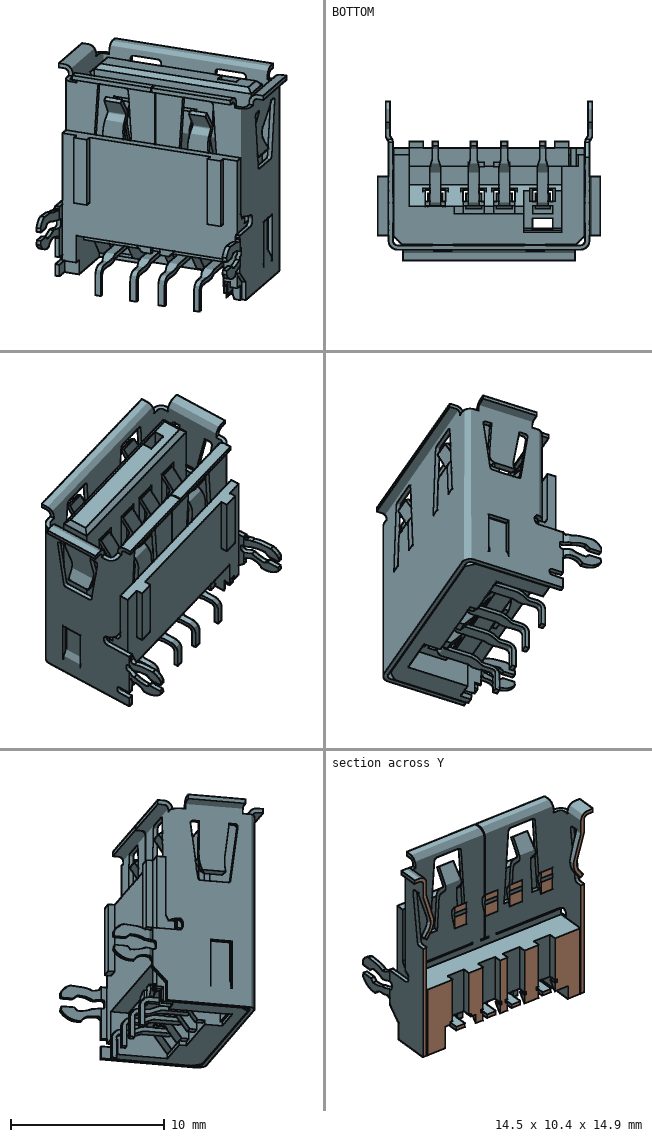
import cadquery as cq
import math


sheet = 0.3
shell_half_x = 6.55
shell_half_y = 2.85
shell_corner = 0.6
shell_height = 13.23
inner_half_x = shell_half_x - sheet
inner_half_y = shell_half_y - sheet
front_wall_bottom = 5.67
cheek_front_y = -4.15
cheek_top = 4.88
seam_gap = 0.06

lip_top = 13.99
lip_flare = 0.7
lip_bend = 0.3
long_lip_half = 5.61
short_lip_half = 1.93

body_half_x = 6.2
body_back_y = 2.51
floor_z = 5.12
plate_back_y = -3.18
plate_front_y = -3.78
plate_top = 9.92
rib_front_y = -4.21
tongue_half_x = 5.57
tongue_back_y = 1.8
tongue_front_y = -0.03
tongue_top = 13.47
tongue_chamfer = 0.31
slot_front_y = -1.03
slot_back_y = 0.52
slot_top = 11.46
outer_slot_width = 1.31
inner_slot_width = 1.37
lintel_y = -2.59
sill_z = 0.28
pocket_left_x = 2.28
pocket_right_x = 4.73

outer_contact_x = 3.5
inner_contact_x = 1.0
pin_bottom = -0.9
contact_thickness = 0.3
barb_width = 1.67
barb_bottom = 1.67
barb_top = 1.87
barb_back_y = 0.0


def box(x0, x1, y0, y1, z0, z1):
    return cq.Workplane("XY").box(x1 - x0, y1 - y0, z1 - z0, centered=False).translate((x0, y0, z0))


def slab_yz(points, x0, x1):
    """Closed Y-Z outline extruded from x0 to x1."""
    return cq.Workplane("YZ", origin=(x0, 0, 0)).polyline(points).close().extrude(x1 - x0)


def slab_xz(points, y0, y1):
    """Closed X-Z outline extruded from y0 to y1."""
    return cq.Workplane("XZ", origin=(0, y1, 0)).polyline(points).close().extrude(y1 - y0)


def both_sides(solid):
    return solid.union(solid.mirror("YZ"))


def trapezoid(center, half_top, half_bottom, z_top, z_bottom):
    return [
        (center - half_bottom, z_bottom),
        (center + half_bottom, z_bottom),
        (center + half_top, z_top),
        (center - half_top, z_top),
    ]


def bent_strip(plane, path, radii, thickness=sheet):
    """Closed outline of an evenly thick strip along a mid-line path rounded at its inner corners."""
    half = thickness / 2
    headings = [math.atan2(v1 - v0, u1 - u0) for (u0, v0), (u1, v1) in zip(path, path[1:])]

    def offset(point, heading, distance):
        u, v = point
        return (u - distance * math.sin(heading), v + distance * math.cos(heading))

    def bend_points(corner, radius, before, after, side):
        """Start, middle and end of the arc that one face of the strip makes at a corner."""
        u, v = corner
        turn = math.remainder(after - before, 2 * math.pi)
        run_up = radius * math.tan(abs(turn) / 2)
        start = (u - run_up * math.cos(before), v - run_up * math.sin(before))
        center = offset(start, before, math.copysign(radius, turn))
        reach = side * half - math.copysign(radius, turn)
        return [offset(center, heading, reach) for heading in (before, before + turn / 2, after)]

    def face_bends(side):
        corners = zip(path[1:-1], radii, headings, headings[1:])
        return [bend_points(*corner, side) for corner in corners]

    outline = cq.Workplane(plane).moveTo(*offset(path[0], headings[0], half))
    for start, middle, end in face_bends(1):
        outline = outline.lineTo(*start).threePointArc(middle, end)
    outline = outline.lineTo(*offset(path[-1], headings[-1], half))
    outline = outline.lineTo(*offset(path[-1], headings[-1], -half))
    for start, middle, end in reversed(face_bends(-1)):
        outline = outline.lineTo(*end).threePointArc(middle, start)
    return outline.lineTo(*offset(path[0], headings[0], -half)).close()


def lip(plane, face, half_length):
    """Lip curling outward from the wall whose outer face lies at the given distance."""
    lip_z = lip_top - sheet / 2
    wall_mid = face - sheet / 2
    path = [(wall_mid, shell_height), (wall_mid, lip_z), (face + lip_flare, lip_z)]
    return bent_strip(plane, path, [lip_bend + sheet / 2]).extrude(half_length, both=True)


def shell_tube():
    outer = box(-shell_half_x, shell_half_x, -shell_half_y, shell_half_y, 0, shell_height)
    inner = box(-inner_half_x, inner_half_x, -inner_half_y, inner_half_y, 0, shell_height)
    outer = outer.edges("|Z").fillet(shell_corner)
    inner = inner.edges("|Z").fillet(shell_corner - sheet)
    below_front_wall = box(
        -shell_half_x, shell_half_x, -shell_half_y, shell_corner - shell_half_y, 0, front_wall_bottom
    )
    tube = outer.cut(inner).cut(below_front_wall)
    long_lip = lip("YZ", shell_half_y, long_lip_half)
    short_lip = lip("XZ", shell_half_x, short_lip_half)
    tube = tube.union(long_lip).union(long_lip.mirror("XZ")).union(both_sides(short_lip))
    seam = box(-seam_gap / 2, seam_gap / 2, -shell_half_y - lip_flare, -inner_half_y, 0, lip_top)
    return tube.cut(seam)


def cheeks():
    """Side walls below the front wall, reaching forward past it; the right one has its corner cut off."""
    relief_height = front_wall_bottom - cheek_top
    relief_back_y = -2.1
    notch_back_y = -3.18
    notch_low, notch_high = 0.82, 1.34
    notch_radius = 0.18
    bevel_top = 2.23
    cheek = box(
        inner_half_x, shell_half_x, cheek_front_y, shell_corner - shell_half_y, 0, cheek_top + relief_height
    )
    relief = box(inner_half_x, shell_half_x, cheek_front_y, relief_back_y, cheek_top, front_wall_bottom)
    relief = relief.edges("|X and >Y").fillet(relief_height * 0.45)
    notch = box(inner_half_x, shell_half_x, cheek_front_y, notch_back_y, notch_low, notch_high)
    notch = notch.edges("|X and >Y").fillet(notch_radius)
    corner = [
        (cheek_front_y, 0),
        (cheek_front_y, bevel_top),
        (notch_back_y, bevel_top + cheek_front_y - notch_back_y),
        (notch_back_y, 0),
    ]
    right_corner = slab_yz(corner, inner_half_x, shell_half_x)
    return both_sides(cheek), both_sides(relief.union(notch)).union(right_corner)


def solder_legs():
    """Two-pronged board lock at the front edge of each cheek, stepped outward."""
    jog = 0.2
    jog_start_y, jog_end_y = -4.23, -4.54
    jog_radius = 0.3
    beyond_tip_y = -7.44
    upper = (
        cq.Workplane("YZ")
        .moveTo(cheek_front_y, 4.91)
        .lineTo(-4.23, 4.75)
        .lineTo(-4.33, 4.67)
        .lineTo(-4.69, 4.65)
        .threePointArc((-5.12, 4.79), (-5.5, 4.84))
        .lineTo(-6.18, 4.88)
        .threePointArc((-6.59, 4.65), (-6.82, 4.32))
        .lineTo(-6.82, 4.06)
        .lineTo(-6.75, 4.0)
        .lineTo(-6.0, 4.0)
        .lineTo(-5.7, 4.24)
        .threePointArc((-5.21, 4.2), (-4.69, 4.0))
        .lineTo(cheek_front_y, 4.0)
        .close()
    )
    lower = (
        cq.Workplane("YZ")
        .moveTo(cheek_front_y, 3.41)
        .lineTo(-4.69, 3.41)
        .threePointArc((-5.21, 3.23), (-5.7, 3.18))
        .lineTo(-5.92, 3.41)
        .lineTo(-6.75, 3.41)
        .lineTo(-6.82, 3.14)
        .threePointArc((-6.32, 2.68), (-5.65, 2.5))
        .lineTo(-5.45, 2.5)
        .lineTo(-5.3, 2.7)
        .threePointArc((-5.0, 2.85), (-4.69, 2.89))
        .lineTo(-4.33, 2.89)
        .lineTo(cheek_front_y, 2.66)
        .close()
    )
    reach = shell_half_x + jog + sheet
    mid_x = shell_half_x - sheet / 2
    stepped_path = [
        (mid_x, -shell_half_y),
        (mid_x, jog_start_y),
        (mid_x + jog, jog_end_y),
        (mid_x + jog, beyond_tip_y),
    ]
    stepped_sheet = bent_strip("XY", stepped_path, [jog_radius] * 2)
    stepped_sheet = stepped_sheet.extrude(cheek_top + sheet)
    leg = upper.extrude(reach).intersect(stepped_sheet).union(lower.extrude(reach).intersect(stepped_sheet))
    gap_end = box(inner_half_x, shell_half_x, cheek_front_y, -3.91, 3.41, 4.0).edges("|X and >Y").fillet(0.18)
    return both_sides(leg), both_sides(gap_end)


def long_wall_springs():
    """Springs rising from the front and back walls; returns the springs and their openings."""
    center_x = 3.0
    opening_top, opening_bottom = 13.39, 7.74
    spring_top = 12.5
    base_depth = shell_half_y - sheet / 2
    fold_depth, fold_z = base_depth - 0.71, 11.23
    hump_z = 10.49
    path = [
        (base_depth, opening_bottom),
        (base_depth, hump_z),
        (fold_depth, fold_z),
        (base_depth + 0.13, spring_top - 0.09),
    ]
    bent = bent_strip("YZ", path, [0.9, 0.24]).extrude(shell_half_x, both=True)
    outline = slab_xz(trapezoid(center_x, 0.57, 0.85, spring_top + 0.15, opening_bottom), 0, 4.46)
    spring = bent.intersect(outline)
    opening = slab_xz(trapezoid(center_x, 1.07, 1.45, opening_top, opening_bottom), inner_half_y, 2.98)
    opening = opening.edges("|Y and >Z").fillet(0.24)
    springs = both_sides(spring)
    openings = both_sides(opening)
    return springs.union(springs.mirror("XZ")), openings.union(openings.mirror("XZ"))


def side_springs():
    """Springs hanging from the top of the window in each side wall."""
    window_top, window_bottom = 12.47, 8.4
    tip_z = 8.99
    mid_x = shell_half_x - sheet / 2
    path = [
        (mid_x, window_top + 0.15),
        (mid_x, window_top - 0.09),
        (mid_x - 0.71, 10.0),
        (mid_x - 0.05, tip_z + 0.09),
    ]
    bent = bent_strip("XZ", path, [0.3, 1.19]).extrude(shell_half_y, both=True)
    outline = slab_yz(trapezoid(0, 1.01, 0.79, window_top + 0.15, tip_z), 0, 7.44)
    outline = outline.edges("|X and <Z").chamfer(0.2)
    spring = bent.intersect(outline)
    window = slab_yz(trapezoid(0, 1.62, 1.09, window_top, window_bottom), inner_half_x, shell_half_x)
    window = window.edges("|X").fillet(0.21)
    return both_sides(spring), both_sides(window)


def latches():
    """Tabs cut from the side walls and pressed into the plastic body."""
    back_y, front_y = 1.2, -0.22
    low_z, high_z = 1.18, 4.4
    depth = 0.28
    side_gap = 0.07
    mid_x = shell_half_x - sheet / 2
    path = [
        (mid_x, low_z - 0.15),
        (mid_x, low_z + 0.21),
        (mid_x - depth, low_z + 0.71),
        (mid_x - depth, high_z),
    ]
    profile = bent_strip("XZ", path, [0.6, 0.37])
    tab = profile.extrude(side_gap + front_y - back_y).translate((0, front_y, 0))
    window = box(inner_half_x, shell_half_x, front_y, back_y, low_z, high_z)
    return both_sides(tab), both_sides(window)


def seam_hooks():
    """Pair of hooked tongues at the seam, running down from the front wall."""
    inner_x, outer_x = 0.31, 1.34
    tip_z = 2.05
    outline = [
        (inner_x, front_wall_bottom),
        (inner_x, tip_z),
        (inner_x + 0.65, tip_z),
        (outer_x, 2.47),
        (outer_x, 2.71),
        (inner_x + 0.65, 2.77),
        (inner_x + 0.65, front_wall_bottom),
    ]
    return both_sides(slab_xz(outline, -shell_half_y, -inner_half_y))


def make_shell():
    cheek, cheek_cuts = cheeks()
    legs, leg_gap = solder_legs()
    shell = shell_tube().union(cheek).cut(cheek_cuts).union(legs).cut(leg_gap)
    for added, opening in (long_wall_springs(), side_springs(), latches()):
        shell = shell.cut(opening).union(added)
    return shell.union(seam_hooks())


def body_block():
    back_corner = 0.54
    web_top = 5.58
    web_fillet = 0.37
    foot_z, foot_front_y = 1.0, -3.33
    base = box(-body_half_x, body_half_x, plate_back_y, body_back_y, 0, floor_z)
    base = base.edges("|Z and >Y").chamfer(back_corner)
    profile = [
        (-inner_half_y, 0),
        (foot_front_y, 0),
        (foot_front_y, foot_z),
        (plate_front_y, foot_z),
        (plate_front_y, plate_top),
        (plate_back_y, plate_top),
        (plate_back_y, web_top + web_fillet),
        (plate_back_y + web_fillet / 2, web_top),
        (-inner_half_y, web_top),
    ]
    block = base.union(slab_yz(profile, -body_half_x, body_half_x))
    rib = box(4.27, 5.21, rib_front_y, plate_front_y, 5.34, plate_top)
    return block.union(both_sides(rib))


def tongue():
    bar = box(-tongue_half_x, tongue_half_x, tongue_front_y, tongue_back_y, floor_z, tongue_top)
    return bar.faces(">Z").chamfer(tongue_chamfer)


def contact_slots():
    """Slots for the four contacts, open to the hollow below, with side notches for the barbs."""
    cuts = cq.Workplane("XY")
    for x, width, low_z in (
        (-outer_contact_x, outer_slot_width, sill_z),
        (-inner_contact_x, inner_slot_width, 0),
        (inner_contact_x, inner_slot_width, 0),
        (outer_contact_x, outer_slot_width, 0),
    ):
        left, right = x - width / 2, x + width / 2
        cuts = cuts.union(box(left, right, slot_front_y, slot_back_y, low_z, slot_top))
        cuts = cuts.union(box(left, right, lintel_y, slot_back_y, low_z, barb_top))
        barb_left, barb_right = x - barb_width / 2, x + barb_width / 2
        cuts = cuts.union(box(barb_left, barb_right, lintel_y, barb_back_y, barb_bottom, barb_top))
    return cuts


def underside_cavity():
    """Hollow under the front plate, with a sloping roof where the contacts leave the body."""
    half_width = 5.21
    lintel_z, roof_z = 2.89, 2.17
    roof_flat_y, roof_end_y = -1.38, 0.03
    open_y = plate_front_y - 0.15
    porch = box(-half_width, half_width, open_y, lintel_y, 0, lintel_z)
    roof = [
        (lintel_y, 0),
        (lintel_y, roof_z),
        (roof_flat_y, roof_z),
        (roof_end_y, sill_z),
        (roof_end_y, 0),
    ]
    sill_recess = box(-pocket_left_x, pocket_left_x, lintel_y, slot_back_y, 0, sill_z)
    return porch.union(slab_yz(roof, -half_width, pocket_right_x)).union(sill_recess)


def vent():
    """Passage through the tongue beside the last contact, opening into a stepped pocket below."""
    front_y, back_y = 0.8, 1.46
    step = 0.12
    pocket_top, middle_top = 1.67, 1.12
    half_width = outer_slot_width / 2
    cuts = box(outer_contact_x - half_width, outer_contact_x + half_width, front_y, back_y, 0, tongue_top)
    for i, top in enumerate((pocket_top, middle_top, sill_z)):
        cuts = cuts.union(box(pocket_left_x, pocket_right_x, lintel_y, back_y + i * step, 0, top))
    return cuts


def key_slot():
    outline = [(5.21, 0), (5.33, 0.28), (5.33, 1.34), (5.68, 1.34), (5.68, 0.28), (5.8, 0)]
    return slab_xz(outline, plate_front_y, lintel_y)


def make_body():
    body = body_block().union(tongue())
    for cavity in (contact_slots(), underside_cavity(), vent(), key_slot()):
        body = body.cut(cavity)
    return body


def contact(x, blade_width, pin_width):
    """Bowed blade in the tongue slot, shank through the body, lead out and down to a pin."""
    lead_width = 0.71
    shank_y = barb_back_y - contact_thickness / 2
    pin_y = rib_front_y + contact_thickness / 2
    lead_high_z, lead_low_z = 1.19, 0.91
    blade_path = [(0.07, 11.16), (-0.73, 10.12), (shank_y, 8.4), (shank_y, barb_bottom)]
    lead_path = [
        (shank_y, barb_top),
        (shank_y, lead_high_z),
        (-2.16, lead_high_z),
        (-2.9, lead_low_z),
        (pin_y, lead_low_z),
        (pin_y, pin_bottom),
    ]
    blade = bent_strip("YZ", blade_path, [0.45, 0.9], contact_thickness)
    blade = blade.extrude(blade_width / 2, both=True).translate((x, 0, 0))
    lead = bent_strip("YZ", lead_path, [0.18, 0.45, 0.45, 0.45], contact_thickness)
    lead = lead.extrude(lead_width / 2, both=True).translate((x, 0, 0))
    taper_start_y, taper_end_y = -2.53, -3.05
    plan = [
        (x - lead_width / 2, 0.75),
        (x + lead_width / 2, 0.75),
        (x + lead_width / 2, taper_start_y),
        (x + pin_width / 2, taper_end_y),
        (x + pin_width / 2, -5.95),
        (x - pin_width / 2, -5.95),
        (x - pin_width / 2, taper_end_y),
        (x - lead_width / 2, taper_start_y),
    ]
    plan_prism = cq.Workplane("XY", origin=(0, 0, 2 * pin_bottom)).polyline(plan).close().extrude(5.95)
    barb = box(
        x - barb_width / 2, x + barb_width / 2,
        barb_back_y - contact_thickness, barb_back_y,
        barb_bottom, barb_top,
    )
    return blade.union(lead.intersect(plan_prism)).union(barb)


def make_contacts():
    contacts = cq.Workplane("XY")
    for side in (-1, 1):
        contacts = contacts.union(contact(side * outer_contact_x, 0.97, 0.39))
        contacts = contacts.union(contact(side * inner_contact_x, 1.03, 0.45))
    return contacts


result = make_body().union(make_shell()).union(make_contacts())